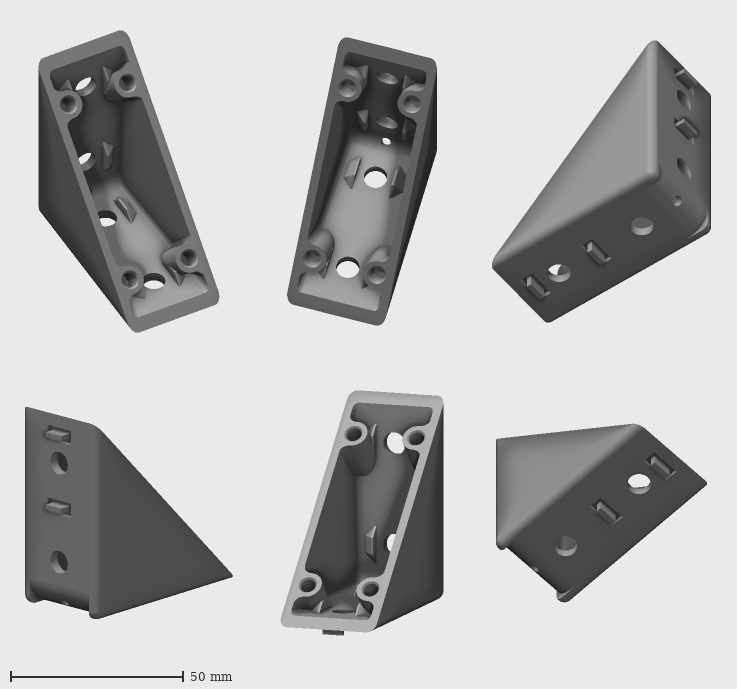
import cadquery as cq
import math


leg_length = 59.7
body_width = 29.7
edge_radius = 2.5
corner_radius = 8.0
corner_relief_width = 23.4

wall = 3.0
rim_width = 2.5
draft_angle = 2.2
floor_fillet = 1.5
inner_corner_radius = 4.0

boss_position = 48.9
boss_radius = 4.2
boss_side = 9.7
lower_boss_flare = body_width / 2 - rim_width - boss_side
upper_boss_flare = 3.0
boss_hole_diameter = 4.5
boss_hole_depth = 9.0
boss_hole_chamfer = 0.5

mount_hole_diameter = 6.8
mount_hole_positions = (15.2, 45.2)
rib_half_length = 5.45
rib_inner_side = 5.5
rib_top_width = 0.6
rib_height = 3.0

tab_positions = (31.8, 53.8)
tab_width = 6.2
tab_thickness = 1.5
tab_projection = 2.4
recess_width = 9.2
recess_thickness = 4.2
recess_depth = 1.5

corner_hole_diameter = 3.0

half_leg = leg_length / 2
slope_middle = (half_leg, 0, half_leg)
slope_plane = cq.Plane(origin=slope_middle, xDir=(1, 0, -1), normal=(1, 0, 1))
cross_plane = cq.Plane(origin=slope_middle, xDir=(0, 1, 0), normal=(1, 0, -1))
slope_length = leg_length * math.sqrt(2)
slope_height = slope_length / 2


def swap_legs(shape):
    """Mirror a shape from the bottom leg to the upright leg, across the plane X = Z."""
    return shape.mirror((1, 0, -1), (0, 0, 0))


def triangle_prism(corner, width):
    """Right triangle with its corner at X = Z = corner and its long side on the slope."""
    tip = leg_length - corner
    outline = cq.Workplane("XZ").polyline([(corner, corner), (tip, corner), (corner, tip)]).close()
    return outline.extrude(width / 2, both=True)


def below_slope(edge):
    """True for edges that do not lie in the sloped face."""
    center = edge.Center()
    return center.x + center.z < leg_length - edge_radius / 2


def make_body():
    """Solid triangular body with every edge rounded except those around the slope."""
    body = triangle_prism(0, body_width)
    lower_edges = [e for e in body.edges().vals() if below_slope(e)]
    return body.newObject(lower_edges).fillet(edge_radius)


def make_corner_relief():
    """Material outside the large rounded corner, between the two end cheeks."""
    half = corner_relief_width / 2
    block = (
        cq.Workplane("XZ").rect(corner_radius, corner_radius, centered=False)
        .extrude(half, both=True)
    )
    roller = (
        cq.Workplane("XZ").center(corner_radius, corner_radius)
        .circle(corner_radius).extrude(half, both=True)
    )
    return block.cut(roller)


def make_cavity():
    """Hollow behind the slope; its side walls close in with depth."""
    rim_half = body_width / 2 - rim_width
    deep_half = rim_half - slope_height * math.tan(math.radians(draft_angle))
    drafted = (
        cq.Workplane(cross_plane)
        .polyline([
            (-rim_half, 0), (rim_half, 0),
            (deep_half, -slope_height), (-deep_half, -slope_height),
        ])
        .close().extrude(slope_length / 2, both=True)
    )
    cavity = triangle_prism(wall, body_width).intersect(drafted)
    inner_corner = cq.selectors.NearestToPointSelector((wall, 0, wall))
    cavity = cavity.edges("|Y").edges(inner_corner).fillet(inner_corner_radius)
    for side in (">Y", "<Y"):
        floor_edges = [e for e in cavity.faces(side).edges().vals() if below_slope(e)]
        cavity = cavity.newObject(floor_edges).fillet(floor_fillet)
    return cavity


def boss_points():
    """Boss centers on the slope as (distance along it from the middle, side)."""
    along = (boss_position - half_leg) * math.sqrt(2)
    return [(s * along, side) for s in (-1, 1) for side in (-1, 1)]


def make_boss(along, side):
    """Half-round column running square to the slope, flaring out into the side wall."""
    flare = lower_boss_flare if along > 0 else upper_boss_flare
    center_y = side * boss_side
    wall_y = center_y + side * flare
    buried_y = side * body_width / 2
    bend = flare * (1 - math.sqrt(0.5))
    base = boss_radius + flare
    return (
        cq.Workplane(slope_plane)
        .moveTo(along - base, buried_y)
        .lineTo(along - base, wall_y)
        .threePointArc((along - boss_radius - bend, wall_y - side * bend), (along - boss_radius, center_y))
        .threePointArc((along, center_y - side * boss_radius), (along + boss_radius, center_y))
        .threePointArc((along + boss_radius + bend, wall_y - side * bend), (along + base, wall_y))
        .lineTo(along + base, buried_y)
        .close().extrude(-slope_height)
    )


def make_boss_hole(along, side):
    """Blind screw hole with a chamfered mouth on the slope."""
    radius = boss_hole_diameter / 2
    mouth_radius = radius + boss_hole_chamfer
    frame = cq.Workplane(slope_plane).center(along, side * boss_side)
    hole = frame.circle(radius).extrude(-boss_hole_depth)
    mouth = cq.Solid.makeCone(
        mouth_radius, radius, boss_hole_chamfer, frame.plane.origin, -slope_plane.zDir
    )
    return hole.union(cq.Workplane(mouth))


def make_rib(center_x, side):
    """Guide rib on the bottom leg: upright towards the hole, bevelled on the back, ends and corners."""
    ridge_y = rib_inner_side + rib_top_width
    foot_y = ridge_y + rib_height
    top_half = rib_half_length - rib_height
    root = wall / 2
    top = wall + rib_height
    lengthwise = (
        cq.Workplane("XZ").center(center_x, 0)
        .polyline([
            (-rib_half_length, root), (rib_half_length, root), (rib_half_length, wall),
            (top_half, top), (-top_half, top), (-rib_half_length, wall),
        ])
        .close().extrude(body_width / 2, both=True)
    )
    crosswise = (
        cq.Workplane("YZ").workplane(offset=center_x)
        .polyline([
            (side * rib_inner_side, root), (side * rib_inner_side, top), (side * ridge_y, top),
            (side * foot_y, wall), (side * foot_y, root),
        ])
        .close().extrude(rib_half_length, both=True)
    )
    rib = lengthwise.intersect(crosswise)
    for end in (-1, 1):
        foot = (center_x + end * rib_half_length, side * ridge_y, wall)
        corner_plane = cq.Plane(origin=foot, normal=(end, side, 1))
        corner = cq.Workplane(corner_plane).rect(body_width, body_width).extrude(body_width)
        rib = rib.cut(corner)
    return rib


def make_mount_hole(center_x):
    """Hole through the bottom leg; it ends inside the hollow."""
    return cq.Workplane("XY").center(center_x, 0).circle(mount_hole_diameter / 2).extrude(2 * wall)


def make_recess(center_x):
    """Shallow pocket around a tab in the underside of the bottom leg."""
    outline = cq.Workplane("XY").center(center_x, 0).rect(recess_thickness, recess_width)
    return outline.extrude(recess_depth)


def make_tab(center_x):
    """Flat tab rising from the bottom of its recess and standing proud of the leg."""
    outline = cq.Workplane("XY").workplane(offset=-tab_projection).center(center_x, 0)
    return outline.rect(tab_thickness, tab_width).extrude(tab_projection + recess_depth)


def make_corner_hole():
    """Hole square to the slope, through the rounded corner only."""
    corner_plane = cq.Plane(origin=(0, 0, 0), xDir=(0, 1, 0), normal=(1, 0, 1))
    return cq.Workplane(corner_plane).circle(corner_hole_diameter / 2).extrude(corner_radius)


cavity = make_cavity()
for boss_point in boss_points():
    cavity = cavity.cut(make_boss(*boss_point))
result = make_body().cut(make_corner_relief()).cut(cavity)
for boss_point in boss_points():
    result = result.cut(make_boss_hole(*boss_point))

for position in mount_hole_positions:
    for rib_side in (-1, 1):
        floor_rib = make_rib(position, rib_side)
        result = result.union(floor_rib).union(swap_legs(floor_rib))

for position in mount_hole_positions:
    mount_hole = make_mount_hole(position)
    result = result.cut(mount_hole).cut(swap_legs(mount_hole))
for position in tab_positions:
    recess = make_recess(position)
    tab = make_tab(position)
    result = result.cut(recess).cut(swap_legs(recess))
    result = result.union(tab).union(swap_legs(tab))
result = result.cut(make_corner_hole())